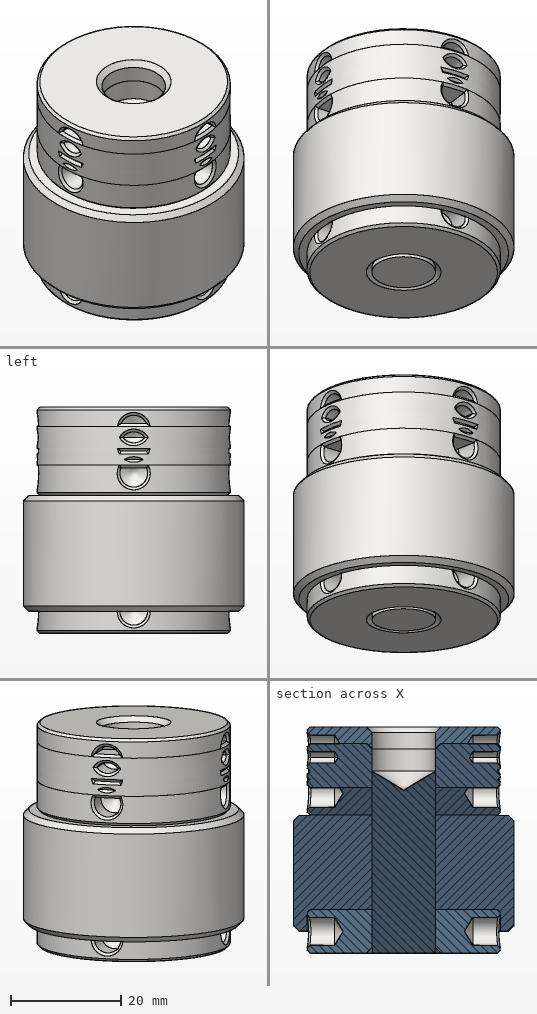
import cadquery as cq
import math

total_height = 41.0
ring_height = 8.0
sleeve_bottom = 4.0
sleeve_top = 25.0

upper_ring_base = total_height - ring_height
middle_ring_base = upper_ring_base - 3.0
lower_ring_base = sleeve_top

sleeve_diameter = 40.0
sleeve_chamfer = 1.0

ring_diameter = 35.0
ring_chamfer = 0.5
bore_diameter = 11.5
bore_chamfer = 1.0

wrench_hole_count = 4
wrench_hole_diameter = 5.0
wrench_hole_depth = 5.0
wrench_hole_chamfer = 0.5
drill_point_angle = 118.0

rod_top = upper_ring_base


def drill_point_length(diameter):
    """Length of the conical end that a drill of this diameter leaves."""
    return diameter / 2 / math.tan(math.radians(drill_point_angle / 2))


def raised(body, height):
    return body.translate((0, 0, height))


def disc_blank():
    """Solid disc on Z = 0 with both rims chamfered."""
    blank = cq.Workplane("XY").circle(ring_diameter / 2).extrude(ring_height)
    return blank.edges().chamfer(ring_chamfer)


def bored_disc():
    """Disc with a through bore that is countersunk on the upper face."""
    bore_radius = bore_diameter / 2
    bore_profile = (
        cq.Workplane("XZ")
        .lineTo(bore_radius, 0)
        .lineTo(bore_radius, ring_height - bore_chamfer)
        .lineTo(bore_radius + bore_chamfer, ring_height)
        .lineTo(0, ring_height)
        .close()
    )
    bore = bore_profile.revolve(360, (0, 0, 0), (0, 1, 0))
    return disc_blank().cut(bore)


def wrench_hole_cutter():
    """Drill shape along +X at mid height, pointing towards the ring's axis."""
    hole_radius = wrench_hole_diameter / 2
    outer_end = ring_diameter / 2 + wrench_hole_chamfer
    shoulder = ring_diameter / 2 - wrench_hole_depth
    tip = shoulder - drill_point_length(wrench_hole_diameter)
    half_profile = (
        cq.Workplane("XY")
        .moveTo(tip, 0)
        .lineTo(shoulder, hole_radius)
        .lineTo(outer_end, hole_radius)
        .lineTo(outer_end, 0)
        .close()
    )
    drill = half_profile.revolve(360, (0, 0, 0), (1, 0, 0))
    return raised(drill, ring_height / 2)


def ring():
    """Bored disc with chamfered wrench holes around its wall."""
    body = bored_disc()
    cutter = wrench_hole_cutter()
    for index in range(wrench_hole_count):
        angle = index * 360 / wrench_hole_count
        body = body.cut(cutter.rotate((0, 0, 0), (0, 0, 1), angle))

    return body.edges("%BSPLINE").chamfer(wrench_hole_chamfer)


def make_sleeve():
    """Chamfered sleeve with a rod bore and a recess that seats the bottom ring."""
    body = (
        cq.Workplane("XY", origin=(0, 0, sleeve_bottom))
        .circle(sleeve_diameter / 2)
        .extrude(sleeve_top - sleeve_bottom)
        .edges()
        .chamfer(sleeve_chamfer)
    )
    rod_bore = cq.Workplane("XY").circle(bore_diameter / 2).extrude(total_height)
    return body.cut(rod_bore).cut(disc_blank())


def make_rod():
    """Round rod through the rings and sleeve, with a drill cone in its upper end."""
    rod_radius = bore_diameter / 2
    half_profile = (
        cq.Workplane("XZ")
        .lineTo(rod_radius, 0)
        .lineTo(rod_radius, rod_top)
        .lineTo(0, rod_top - drill_point_length(bore_diameter))
        .close()
    )
    return half_profile.revolve(360, (0, 0, 0), (0, 1, 0))


plain_ring = ring()
upper_outline = raised(plain_ring, upper_ring_base)
middle_outline = raised(plain_ring, middle_ring_base)
lower_outline = raised(plain_ring, lower_ring_base)
middle_space = raised(bored_disc(), middle_ring_base)

upper_ring = upper_outline.cut(middle_space)
lower_ring = lower_outline.cut(middle_space)
joined_rings = middle_outline.union(upper_outline, clean=False).union(lower_outline, clean=False)
middle_ring = joined_rings.intersect(middle_space, clean=False)

bottom_ring = raised(plain_ring.rotate((0, 0, 0), (1, 0, 0), 180), ring_height)

sleeve = make_sleeve()
rod = make_rod()

result = cq.Compound.makeCompound([
    upper_ring.solids().val(),
    middle_ring.solids().val(),
    lower_ring.solids().val(),
    bottom_ring.solids().val(),
    sleeve.solids().val(),
    rod.solids().val(),
])